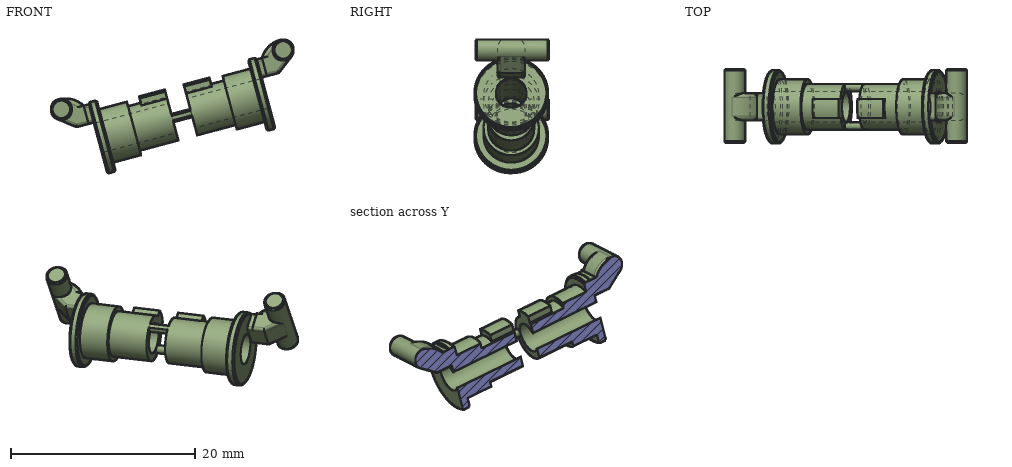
import cadquery as cq
import math

overall_length = 26.35
tilt_angle = 15.0

half_gap = 1.05
body_diameter = 5.0
bore_diameter = 3.3
collar_diameter = 6.0
collar_inner_end = 5.37
flange_diameter = 8.0
flange_inner_face = 8.48
flange_outer_face = 9.43
flange_chamfer = 0.18

key_radius = 3.21
key_width = 2.03
key_side_offset = -0.18
key_end = 3.95

rod_diameter = 0.92

pin_diameter = 2.3
pin_length = 8.0
pin_side_offset = 0.1
pin_chamfer = 0.18
pin_height = 4.03
pin_axial = (overall_length - pin_diameter) / 2 / math.cos(math.radians(tilt_angle))

arm_width = 3.0
arm_bottom = 1.75
arm_neck_top = 3.8
arm_neck_end = 10.0
arm_neck_width = 2.95
arm_neck_fillet = 0.3
arm_elbow = 11.35
arm_top_fillet = 0.5
arm_bottom_fillet = 0.32
arm_embed = 0.13
arm_root = flange_outer_face - arm_embed


def axial_cylinder(diameter, start, end):
    return cq.Workplane("YZ", origin=(start, 0, 0)).circle(diameter / 2).extrude(end - start)


def stepped_body():
    body = axial_cylinder(body_diameter, half_gap, flange_outer_face)
    collar = axial_cylinder(collar_diameter, collar_inner_end, flange_outer_face)
    flange = axial_cylinder(flange_diameter, flange_inner_face, flange_outer_face).edges().chamfer(flange_chamfer)
    return body.union(collar).union(flange)


def key():
    length = key_end - half_gap
    block = cq.Workplane("XY").box(length, key_width, key_radius, centered=(False, True, False))
    crown = axial_cylinder(2 * key_radius, half_gap, key_end)
    return block.translate((half_gap, key_side_offset, 0)).intersect(crown)


def lower_tangent_point(x, z):
    """Point on the underside of the pin where a line from (x, z) touches it."""
    dx = x - pin_axial
    dz = z - pin_height
    radius = pin_diameter / 2
    angle = math.atan2(dz, dx) + math.acos(radius / math.hypot(dx, dz))
    return pin_axial + radius * math.cos(angle), pin_height + radius * math.sin(angle)


def neck():
    block = cq.Workplane("XY").box(
        arm_neck_end - arm_root, arm_neck_width, arm_neck_top - arm_bottom, centered=(False, True, False)
    )
    return block.edges("|X").fillet(arm_neck_fillet).translate((arm_root, 0, arm_bottom))


def arm():
    pin_top = (pin_axial, pin_height + pin_diameter / 2)
    run = pin_axial - arm_neck_end
    drop = pin_top[1] - arm_neck_top
    arc_radius = (run**2 + drop**2) / (2 * drop)
    half_sweep = math.asin(run / arc_radius) / 2
    arc_middle = (
        pin_axial - arc_radius * math.sin(half_sweep),
        pin_top[1] - arc_radius * (1 - math.cos(half_sweep)),
    )
    blank = (
        cq.Workplane("XZ", origin=(0, arm_width / 2, 0))
        .moveTo(*pin_top)
        .threePointArc(arc_middle, (arm_neck_end, arm_neck_top))
        .lineTo(arm_root, arm_neck_top)
        .lineTo(arm_root, arm_bottom)
        .lineTo(arm_elbow, arm_bottom)
        .lineTo(*lower_tangent_point(arm_elbow, arm_bottom))
        .lineTo(pin_axial, pin_height)
        .close()
        .extrude(arm_width)
    )
    for side_face in ("<Y", ">Y"):
        blank = blank.faces(side_face).edges("%CIRCLE").fillet(arm_top_fillet)
    lower_edges = cq.selectors.BoxSelector(
        (arm_root, -arm_width, 0),
        (pin_axial + pin_diameter, arm_width, pin_height - pin_diameter / 4),
    )
    for side_face in ("<Y", ">Y"):
        side_edges = blank.faces(side_face).edges(lower_edges)
        blank = side_edges.edges("not |Z").fillet(arm_bottom_fillet)
    beyond_neck = cq.Workplane("YZ", origin=(arm_neck_end, 0, 0)).rect(2 * arm_width, 2 * overall_length)
    return blank.intersect(beyond_neck.extrude(pin_axial))


def cross_pin():
    start = pin_side_offset + pin_length / 2
    pin = cq.Workplane("XZ", origin=(pin_axial, start, pin_height)).circle(pin_diameter / 2).extrude(pin_length)
    return pin.faces("<Y or >Y").edges().chamfer(pin_chamfer)


def half():
    bore = axial_cylinder(bore_diameter, half_gap, flange_outer_face)
    return stepped_body().union(key()).cut(bore).union(neck()).union(arm()).union(cross_pin())


def rods():
    offset = (bore_diameter + rod_diameter) / 2
    centers = [(-offset, 0), (offset, 0)]
    sketch = cq.Workplane("YZ", origin=(-half_gap, 0, 0)).pushPoints(centers).circle(rod_diameter / 2)
    pair = sketch.extrude(2 * half_gap)
    return pair.intersect(axial_cylinder(body_diameter, -half_gap, half_gap))


right_half = half()
left_half = right_half.mirror("YZ")
result = right_half.union(left_half).union(rods()).rotate((0, 0, 0), (0, 1, 0), -tilt_angle)